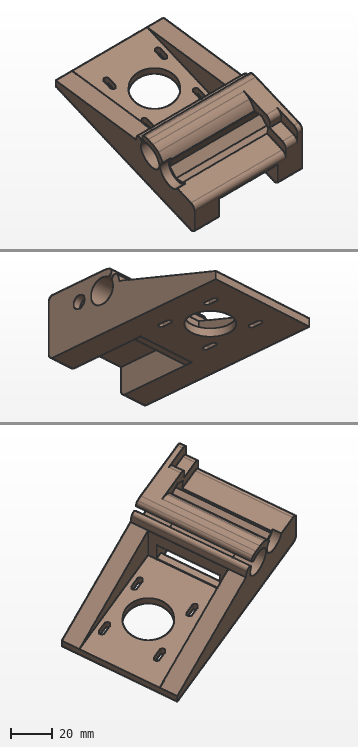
import cadquery as cq
import math

LENGTH = 113.0
WIDTH = 65.0
HEIGHT = 35.0
CORNER_RADIUS = 3.0

PLATE_THICKNESS = 4.6
SIDE_WALL = 10.0
SLOPE_TOP_X = 65.2
SLOPE_TOP_Z = 25.0

ROD_X = 76.8
ROD_Z = 24.0
BORE_RADIUS = 7.5
CLAMP_RADIUS = 11.6
CLAMP_BLEND_RADIUS = 8.2
HOOK_END_ANGLE = 117.0
LIP_END_ANGLE = 156.4

BLOCK_TOP_Z = 21.2
LEDGE_Z = 27.9
NOTCH_X = 99.8
BACK_PLATE = 3.0

SEAT_X = 92.3
SEAT_Z = ROD_Z
HEX_RADIUS = 6.5
HEX_SIDES = 6
HEX_TURN = 21.0
HEX_DEPTH_IN_WALL = 5.4
MOUTH_RADIUS = 7.1
MOUTH_DEPTH = 5.0
THREAD_HOLE_RADIUS = 3.7

MOTOR_X = 32.4
MOTOR_Y = 35.5
MOTOR_HOLE_RADIUS = 12.5
SLOT_SPACING = 31.0
SLOT_LENGTH = 8.1
SLOT_WIDTH = 2.9

CHANNEL_WIDTH = 35.4
CHANNEL_HEIGHT = 16.3
CHANNEL_Y = ((WIDTH - CHANNEL_WIDTH) / 2, (WIDTH + CHANNEL_WIDTH) / 2)
SILL_HEIGHT = 5.3
SILL_DEPTH = 4.0


def along_y(axis_x, axis_z):
    """Workplane on the -Y end, centred on the given X and Z; a negative extrusion runs toward +Y."""
    return cq.Workplane("XZ", origin=(axis_x, 0, axis_z))


def box(x_range, y_range, z_range):
    """Axis-aligned box between the given limits."""
    size = [high - low for low, high in (x_range, y_range, z_range)]
    corner = (x_range[0], y_range[0], z_range[0])
    return cq.Workplane("XY").box(*size, centered=False).translate(corner)


def polar(radius, angle):
    """Point at an angle in degrees on a circle around the workplane origin."""
    return (radius * math.cos(math.radians(angle)), radius * math.sin(math.radians(angle)))


def make_base():
    """Wedge-shaped side profile, hollowed between the side walls, with the rear block behind it."""
    profile = (
        cq.Workplane("XZ")
        .polyline([
            (0, 0),
            (LENGTH, 0),
            (LENGTH, BLOCK_TOP_Z),
            (ROD_X, BLOCK_TOP_Z),
            (ROD_X, SLOPE_TOP_Z),
            (SLOPE_TOP_X, SLOPE_TOP_Z),
            (0, PLATE_THICKNESS),
        ])
        .close()
        .extrude(-WIDTH)
        .edges("|Y and >X")
        .fillet(CORNER_RADIUS)
    )
    bay = box((0, SLOPE_TOP_X), (SIDE_WALL, WIDTH - SIDE_WALL), (PLATE_THICKNESS, HEIGHT))
    return profile.cut(bay)


def make_clamp():
    """Full-width clamp cylinder with a flat on top, blended into its sides; it is bored later."""
    cylinder = along_y(ROD_X, ROD_Z).circle(CLAMP_RADIUS).extrude(-WIDTH)
    flattened = cylinder.intersect(box((0, LENGTH), (0, WIDTH), (0, HEIGHT)))
    return flattened.faces(">Z").edges("|Y").fillet(CLAMP_BLEND_RADIUS)


def make_end_wall():
    """Wall at the +Y end: a thin back plate and a thicker front part with a notch over a ledge."""
    wall_y = WIDTH - SIDE_WALL
    plate_y = WIDTH - BACK_PLATE

    def slab(x_end, y_range, top):
        block = box((ROD_X, x_end), y_range, (0, top))
        return block.edges("|Y and >X").fillet(CORNER_RADIUS)

    back_plate = slab(LENGTH, (plate_y, WIDTH), HEIGHT)
    ledge = slab(LENGTH, (wall_y, plate_y), LEDGE_Z)
    upright = box((ROD_X, NOTCH_X), (wall_y, plate_y), (BLOCK_TOP_Z, HEIGHT))
    upright = upright.edges(">X and >Z").fillet(CORNER_RADIUS)
    return back_plate.union(ledge).union(upright)


def make_clamp_opening():
    """Bore for the rod plus the gap between the rounded ends of hook and lip."""
    bore = along_y(ROD_X, ROD_Z).circle(BORE_RADIUS).extrude(-WIDTH)
    reach = 2 * CLAMP_RADIUS
    gap = (
        along_y(ROD_X, ROD_Z)
        .polyline([(0, 0), polar(reach, HOOK_END_ANGLE), polar(reach, LIP_END_ANGLE)])
        .close()
        .extrude(-WIDTH)
    )
    return bore.union(gap)


def make_clamp_ends():
    """Round noses on the ends of the hook and the lip."""
    middle_radius = (CLAMP_RADIUS + BORE_RADIUS) / 2
    nose_radius = (CLAMP_RADIUS - BORE_RADIUS) / 2
    centres = [polar(middle_radius, angle) for angle in (HOOK_END_ANGLE, LIP_END_ANGLE)]
    return along_y(ROD_X, ROD_Z).pushPoints(centres).circle(nose_radius).extrude(-WIDTH)


def make_thread_seat():
    """Hexagonal groove running into the end wall, round mouth at the -Y end, and the through hole."""
    hex_length = WIDTH - SIDE_WALL + HEX_DEPTH_IN_WALL
    corners = [polar(HEX_RADIUS, HEX_TURN + i * 360 / HEX_SIDES) for i in range(HEX_SIDES)]
    groove = along_y(SEAT_X, SEAT_Z).polyline(corners).close().extrude(-hex_length)
    mouth = along_y(SEAT_X, SEAT_Z).circle(MOUTH_RADIUS).extrude(-MOUTH_DEPTH)
    hole = along_y(SEAT_X, SEAT_Z).circle(THREAD_HOLE_RADIUS).extrude(-WIDTH)
    return groove.union(mouth).union(hole)


def make_motor_holes():
    """Central motor opening and four adjustment slots through the plate."""
    centre = cq.Workplane("XY", origin=(MOTOR_X, MOTOR_Y, 0))
    opening = centre.circle(MOTOR_HOLE_RADIUS).extrude(PLATE_THICKNESS)
    slots = (
        centre.rarray(SLOT_SPACING, SLOT_SPACING, 2, 2)
        .slot2D(SLOT_LENGTH, SLOT_WIDTH)
        .extrude(PLATE_THICKNESS)
    )
    return opening.union(slots)


def make_bracket():
    """Motor bracket with its clamp, end wall and cut-outs."""
    channel = box((SLOPE_TOP_X, LENGTH), CHANNEL_Y, (0, CHANNEL_HEIGHT))
    return (
        make_base()
        .union(make_clamp())
        .union(make_end_wall())
        .cut(make_clamp_opening())
        .union(make_clamp_ends())
        .cut(make_thread_seat())
        .cut(make_motor_holes())
        .cut(channel)
    )


def make_sill_bar():
    """Bar closing the lower part of the channel mouth next to the motor plate."""
    return box((SLOPE_TOP_X, SLOPE_TOP_X + SILL_DEPTH), CHANNEL_Y, (0, SILL_HEIGHT))


bracket = make_bracket()
sill_bar = make_sill_bar()
result = cq.Compound.makeCompound([bracket.val(), sill_bar.val()])